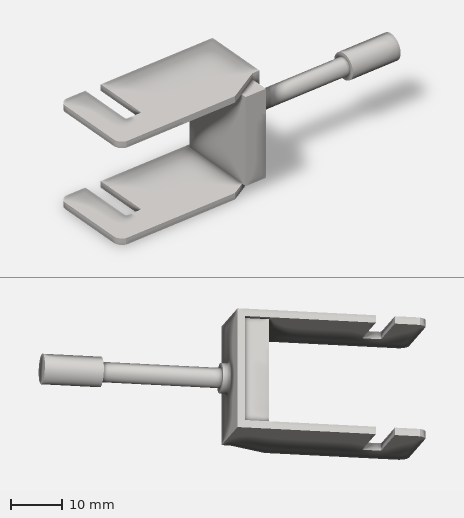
import cadquery as cq
import math

bracket_width = 19.5
bracket_length = 38.0
bracket_height = 24.0
sheet = 1.5
rod_offset = 9.0

bevel_slope = math.tan(math.radians(60.0))

wall_width = 15.0
rear_bevel_end = 9.5
rear_bevel_length = (bracket_width - wall_width) * bevel_slope
rear_bevel_start = rear_bevel_end - rear_bevel_length

front_bevel_length = 1.5
front_bevel_width = front_bevel_length / bevel_slope
front_corner_radius = 2.0

slot_front = 6.5
slot_width = 3.8
slot_depth = 13.0
slot_corner_radius = 0.4

pad_margin = 1.0
pad_width = 18.0
pad_thickness = 5.0
pad_clearance = 0.15

total_length = 75.3
collar_diameter = 6.0
collar_length = 1.6
collar_root_radius = 0.5
rod_diameter = 4.0
sleeve_diameter = 6.0
sleeve_length = 11.8

left = -rod_offset
right = left + bracket_width
front = -bracket_length
inner_height = bracket_height - 2 * sheet
rod_end = total_length - bracket_length


def centred_box(x_start, x_size, y_start, y_size, height):
    """Box centred on Z = 0 that starts at the given X and Y."""
    box = cq.Workplane("XY").box(x_size, y_size, height, centered=(False, False, True))
    return box.translate((x_start, y_start, 0))


def cylinder_along_y(diameter, start, length):
    """Cylinder on the rod axis, running towards +Y."""
    disc = cq.Workplane("XZ", origin=(0, start, 0)).circle(diameter / 2)
    return disc.extrude(-length)


def make_bracket():
    """U-shaped bracket with bevelled rear corner and slotted arms."""
    wall_right = left + wall_width
    outline = [
        (left, 0),
        (wall_right, 0),
        (wall_right, -rear_bevel_start),
        (right, -rear_bevel_end),
        (right, front + front_bevel_length),
        (right - front_bevel_width, front),
        (left + front_bevel_width, front),
        (left, front + front_bevel_length),
    ]
    body = (
        cq.Workplane("XY")
        .polyline(outline)
        .close()
        .extrude(bracket_height / 2, both=True)
        .edges("|Z and <Y")
        .fillet(front_corner_radius)
    )
    slot = (
        centred_box(left, slot_depth, front + slot_front, slot_width, bracket_height)
        .edges("|Z and >X")
        .fillet(slot_corner_radius)
    )
    opening = centred_box(left, bracket_width, front, bracket_length - sheet, inner_height)
    return body.cut(slot).cut(opening)


def make_pad():
    """Rectangular pad on the inner face of the rear wall."""
    pad_height = inner_height - 2 * pad_clearance
    pad_front = -sheet - pad_thickness
    return centred_box(left + pad_margin, pad_width, pad_front, pad_thickness, pad_height)


def make_collar():
    """Collar on the rear face that flares outwards at its root in a concave round."""
    collar_radius = collar_diameter / 2
    root_radius = collar_radius + collar_root_radius
    arc_reach = collar_root_radius * (1 - math.sqrt(0.5))
    profile = (
        cq.Workplane("XY")
        .lineTo(root_radius, 0)
        .threePointArc(
            (collar_radius + arc_reach, arc_reach),
            (collar_radius, collar_root_radius),
        )
        .lineTo(collar_radius, collar_length)
        .lineTo(0, collar_length)
        .close()
    )
    return profile.revolve(360, (0, 0, 0), (0, 1, 0))


def make_rod():
    """Rod with its end sleeve."""
    rod = cylinder_along_y(rod_diameter, 0, rod_end)
    sleeve = cylinder_along_y(sleeve_diameter, rod_end - sleeve_length, sleeve_length)
    return rod.union(sleeve)


result = make_bracket().union(make_pad()).union(make_collar()).union(make_rod())